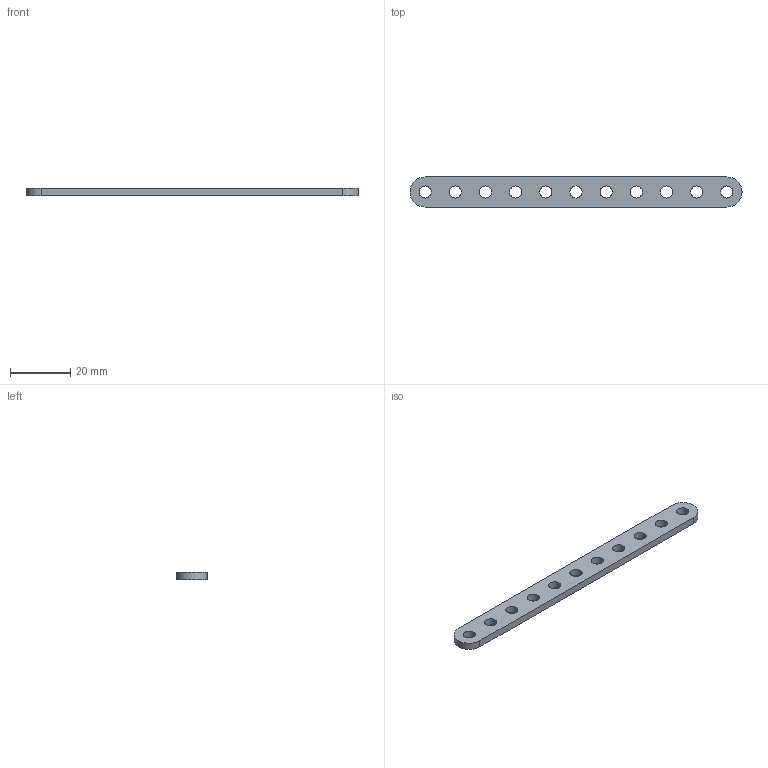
import cadquery as cq

hole_count = 11
hole_pitch = 10.0
hole_diameter = 4.0
width = 10.0
thickness = 2.5

hole_span = (hole_count - 1) * hole_pitch
length = hole_span + width


def make_strip():
    """Flat strip with full-radius ends, resting on Z = 0."""
    return cq.Workplane("XY").slot2D(length, width).extrude(thickness)


def drill_holes(strip):
    """Row of evenly spaced through holes along the centreline."""
    return (
        strip.faces(">Z")
        .workplane(origin=(0, 0, thickness))
        .rarray(hole_pitch, width, hole_count, 1)
        .hole(hole_diameter)
    )


result = drill_holes(make_strip())